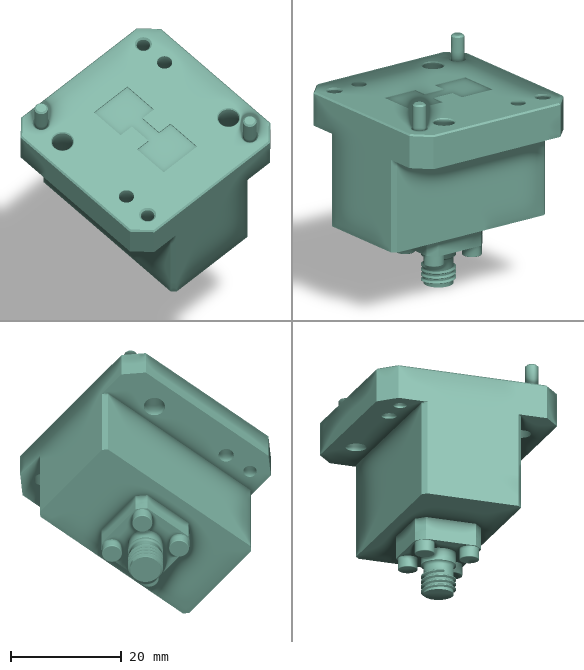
import cadquery as cq

barrel_tip_z = 0.0
boss_bottom_z = 5.55
screw_bottom_z = 5.75
block_bottom_z = 7.82
block_round_top_z = 9.5
body_bottom_z = 12.05
flange_bottom_z = 29.78
flange_top_z = 36.2
pin_top_z = 40.95

flange_side = 34.95
flange_corner = 3.1
flange_edge_chamfer = 0.3

body_depth = 19.15
body_corner = 0.78

hole_y = 12.7
outer_hole_x = 13.95
inner_hole_x = 8.4
dowel_diameter = 2.4
dowel_countersink_diameter = 3.07
plain_hole_diameter = 2.75
screw_hole_diameter = 3.8
screw_hole_countersink_diameter = 4.18

pin_chamfer = 0.3

recess_length = 18.25
recess_width = 8.27
ridge_length = 4.35
ridge_gap = 2.65
recess_depth = 0.2

block_side = 12.75
block_corner = 1.55

screw_offset = 4.3
screw_head_diameter = 3.6
screw_head_edge = 0.12

barrel_radius = 2.75
fillet_radius = 0.45
boss_radius = barrel_radius + fillet_radius
thread_radius = 3.2
thread_pitch = 0.95
thread_turns = 3.5
thread_start_z = 0.33
thread_base = 0.57
thread_crest = 0.12
thread_overlap = 0.05


def prism(size_x, size_y, bottom, top, corner):
    """Upright block with its four vertical edges chamfered."""
    return (
        cq.Workplane("XY", origin=(0, 0, bottom))
        .rect(size_x, size_y)
        .extrude(top - bottom)
        .edges("|Z")
        .chamfer(corner)
    )


def plain_cutter(x, y, diameter):
    """Hole straight through the flange."""
    base = cq.Workplane("XY", origin=(x, y, flange_bottom_z))
    return base.circle(diameter / 2).extrude(flange_top_z - flange_bottom_z)


def countersunk_cutter(x, y, diameter, mouth_diameter):
    """Through-flange hole with a 45 degree countersink at the top face."""
    sink = (mouth_diameter - diameter) / 2
    mouth = (
        cq.Workplane("XY", origin=(x, y, flange_top_z))
        .circle(mouth_diameter / 2)
        .extrude(-sink, taper=45)
    )
    return plain_cutter(x, y, diameter).union(mouth)


def flange():
    plate = prism(flange_side, flange_side, flange_bottom_z, flange_top_z, flange_corner)
    plate = plate.faces(">Z").chamfer(flange_edge_chamfer)

    for x in (-outer_hole_x, outer_hole_x):
        for y in (-hole_y, hole_y):
            plate = plate.cut(countersunk_cutter(x, y, dowel_diameter, dowel_countersink_diameter))

    for side in (-1, 1):
        x = side * inner_hole_x
        y = side * hole_y
        plate = plate.cut(countersunk_cutter(x, y, screw_hole_diameter, screw_hole_countersink_diameter))
        plate = plate.cut(plain_cutter(x, -y, plain_hole_diameter))
    return plate


def waveguide_recess():
    """H-shaped pocket: a rectangle narrowed by a ridge on each long side."""
    floor = cq.Workplane("XY", origin=(0, 0, flange_top_z - recess_depth))
    pocket = floor.rect(recess_length, recess_width).extrude(recess_depth)
    ridge_height = (recess_width - ridge_gap) / 2
    ridge_y = (recess_width + ridge_gap) / 4
    ridges = floor.pushPoints([(0, -ridge_y), (0, ridge_y)]).rect(ridge_length, ridge_height)
    return pocket.cut(ridges.extrude(recess_depth))


def connector_block():
    """Square block with flat corners above and slightly bulged round corners below."""
    upper = prism(block_side, block_side, block_round_top_z, body_bottom_z, block_corner)
    half_side = block_side / 2
    flat_half = half_side - block_corner
    corner_radius = (half_side**2 + flat_half**2) ** 0.5
    base = cq.Workplane("XY", origin=(0, 0, block_bottom_z))
    height = block_round_top_z - block_bottom_z
    lower = base.rect(block_side, block_side).extrude(height)
    lower = lower.intersect(base.circle(corner_radius).extrude(height))
    return upper.union(lower)


def screw_heads():
    return (
        cq.Workplane("XY", origin=(0, 0, screw_bottom_z))
        .rect(2 * screw_offset, 2 * screw_offset, forConstruction=True)
        .vertices()
        .circle(screw_head_diameter / 2)
        .extrude(block_bottom_z - screw_bottom_z)
        .faces("<Z")
        .edges()
        .fillet(screw_head_edge)
    )


def barrel():
    """Boss that flares out from the barrel through a concave fillet."""
    arc_offset = fillet_radius * (1 - 0.5**0.5)
    return (
        cq.Workplane("XZ")
        .moveTo(0, barrel_tip_z)
        .lineTo(barrel_radius, barrel_tip_z)
        .lineTo(barrel_radius, boss_bottom_z - fillet_radius)
        .threePointArc(
            (barrel_radius + arc_offset, boss_bottom_z - arc_offset),
            (boss_radius, boss_bottom_z),
        )
        .lineTo(boss_radius, block_bottom_z)
        .lineTo(0, block_bottom_z)
        .close()
        .revolve(360, (0, 0, 0), (0, 1, 0))
    )


def thread():
    """Right-hand helical ridge that starts on the -X side."""
    flank_slope = (thread_base - thread_crest) / 2 / (thread_radius - barrel_radius)
    root_radius = barrel_radius - thread_overlap
    root_half = thread_base / 2 + flank_slope * thread_overlap
    path = cq.Wire.makeHelix(thread_pitch, thread_turns * thread_pitch, barrel_radius)
    ridge = (
        cq.Workplane("XZ")
        .polyline([
            (root_radius, -root_half),
            (thread_radius, -thread_crest / 2),
            (thread_radius, thread_crest / 2),
            (root_radius, root_half),
        ])
        .close()
        .sweep(cq.Workplane(path), isFrenet=True)
    )
    return ridge.rotate((0, 0, 0), (0, 0, 1), 180).translate((0, 0, thread_start_z))


def make_housing():
    body = prism(flange_side, body_depth, body_bottom_z, flange_bottom_z, body_corner)
    return (
        flange()
        .cut(waveguide_recess())
        .union(body)
        .union(connector_block())
        .union(screw_heads())
        .union(barrel())
        .union(thread())
        .solids()
        .val()
    )


def make_pin(x, y):
    """Dowel pin, flush with the underside of the flange."""
    return (
        cq.Workplane("XY", origin=(x, y, flange_bottom_z))
        .circle(dowel_diameter / 2)
        .extrude(pin_top_z - flange_bottom_z)
        .faces(">Z")
        .chamfer(pin_chamfer)
        .solids()
        .val()
    )


housing = make_housing()

pins = [make_pin(side * outer_hole_x, side * hole_y) for side in (-1, 1)]

result = cq.Compound.makeCompound([housing, *pins])